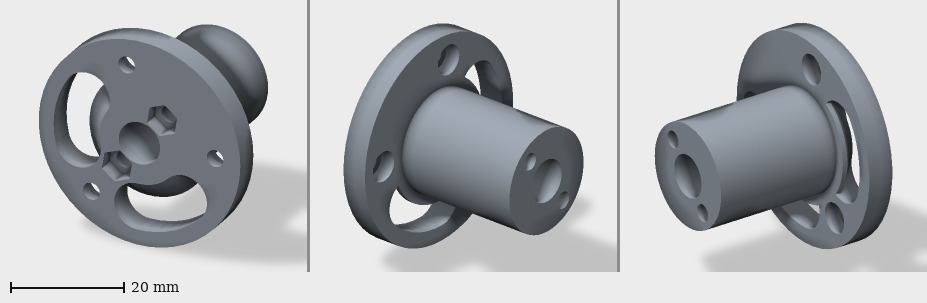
import cadquery as cq
import math

flange_diameter = 40
flange_thickness = 5.0
sleeve_diameter = 20
total_length = 30
bore_diameter = 8.2

symmetry_angle = 50.6
screw_hole_diameter = 3.3

bolt_circle_radius = 7.05
nut_corner_diameter = 6.4
nut_pocket_depth = 3.0

flange_hole_circle_radius = 15.0
flange_hole_spread = 49.2
counterbore_diameter = 5.8
counterbore_depth = 3.0
flange_hole_angles = (
    symmetry_angle + 180,
    symmetry_angle + flange_hole_spread,
    symmetry_angle - flange_hole_spread,
)

slot_path_radius = 12.5
slot_width = 9.05
slot_half_span = 23.6
slot_spread = 119.2
slot_angles = (symmetry_angle + slot_spread, symmetry_angle - slot_spread)

hub_diameter = 24
hub_face_diameter = 16
hub_taper_depth = 4


def polar(radius, angle):
    """Point in the XZ plane at a radius and an angle in degrees."""
    return (
        radius * math.cos(math.radians(angle)),
        radius * math.sin(math.radians(angle)),
    )


def extrude_back(sketch, depth):
    """Extrude an XZ sketch from the flange face towards +Y."""
    return sketch.extrude(-depth)


def disc(diameter, depth, center=(0, 0)):
    sketch = cq.Workplane("XZ").center(*center).circle(diameter / 2)
    return extrude_back(sketch, depth)


def curved_slot(middle_angle):
    """Slot with round ends that follows an arc about the Y axis."""
    start = middle_angle - slot_half_span
    end = middle_angle + slot_half_span
    inner_radius = slot_path_radius - slot_width / 2
    outer_radius = slot_path_radius + slot_width / 2
    path_start = polar(slot_path_radius, start)
    path_end = polar(slot_path_radius, end)
    start_bulge = polar(slot_width / 2, start - 90)
    end_bulge = polar(slot_width / 2, end + 90)
    start_tip = (path_start[0] + start_bulge[0], path_start[1] + start_bulge[1])
    end_tip = (path_end[0] + end_bulge[0], path_end[1] + end_bulge[1])
    sketch = (
        cq.Workplane("XZ")
        .moveTo(*polar(inner_radius, start))
        .threePointArc(polar(inner_radius, middle_angle), polar(inner_radius, end))
        .threePointArc(end_tip, polar(outer_radius, end))
        .threePointArc(polar(outer_radius, middle_angle), polar(outer_radius, start))
        .threePointArc(start_tip, polar(inner_radius, start))
        .close()
    )
    return extrude_back(sketch, flange_thickness)


def tapered_hub():
    """Short round hub that narrows towards the flange face."""
    return (
        disc(hub_diameter, flange_thickness)
        .faces("<Y")
        .edges()
        .chamfer(hub_taper_depth, (hub_diameter - hub_face_diameter) / 2)
    )


def nut_pocket(center):
    hexagon = (
        cq.Workplane("XZ")
        .center(*center)
        .transformed(rotate=(0, 0, symmetry_angle + 30))
        .polygon(6, nut_corner_diameter)
    )
    return extrude_back(hexagon, nut_pocket_depth)


result = disc(flange_diameter, flange_thickness)
for angle in slot_angles:
    result = result.cut(curved_slot(angle))
result = result.union(tapered_hub())
sleeve = disc(sleeve_diameter, total_length - flange_thickness).translate((0, flange_thickness, 0))
result = result.union(sleeve)

result = result.cut(disc(bore_diameter, total_length))
for angle in (symmetry_angle, symmetry_angle + 180):
    bolt_center = polar(bolt_circle_radius, angle)
    result = result.cut(disc(screw_hole_diameter, total_length, bolt_center))
    result = result.cut(nut_pocket(bolt_center))
for angle in flange_hole_angles:
    hole_center = polar(flange_hole_circle_radius, angle)
    result = result.cut(disc(screw_hole_diameter, flange_thickness, hole_center))
    counterbore = disc(counterbore_diameter, counterbore_depth, hole_center)
    result = result.cut(counterbore.translate((0, flange_thickness - counterbore_depth, 0)))